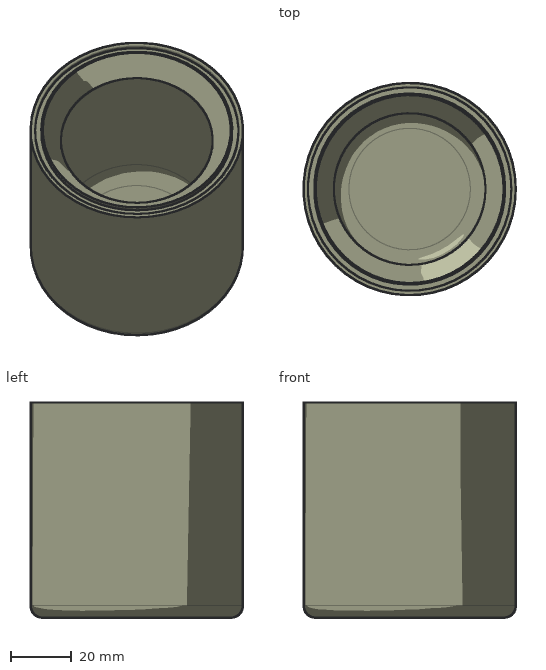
import cadquery as cq

height = 71.0
outer_radius = 70.0 / 2
base_fillet = 4.0

bore_radius = 50.0 / 2
bore_fillet = 5.0
floor_thickness = 9.95
mouth_radius = 30.95
mouth_depth = 6.0

groove_outer_radius = 67.0 / 2
groove_inner_radius = 63.0 / 2
groove_depth = 1.0
rim_edge_fillet = 0.2


def cup_body():
    body = cq.Workplane("XY").circle(outer_radius).extrude(height)
    return body.faces("<Z").edges().fillet(base_fillet)


def bore():
    cutter = (
        cq.Workplane("XY")
        .workplane(offset=floor_thickness)
        .circle(bore_radius)
        .extrude(height - floor_thickness)
    )
    return cutter.faces("<Z").edges().fillet(bore_fillet)


def conical_mouth():
    return (
        cq.Workplane("XZ")
        .moveTo(0, height - mouth_depth)
        .lineTo(bore_radius, height - mouth_depth)
        .lineTo(mouth_radius, height)
        .lineTo(0, height)
        .close()
        .revolve(360, (0, 0, 0), (0, 1, 0))
    )


def rim_groove():
    return (
        cq.Workplane("XY")
        .workplane(offset=height - groove_depth)
        .circle(groove_outer_radius)
        .circle(groove_inner_radius)
        .extrude(groove_depth)
    )


cup = cup_body().cut(bore()).cut(conical_mouth()).cut(rim_groove())

rim_edges = cup.edges(">Z")
groove_edges = rim_edges.edges(cq.selectors.RadiusNthSelector(1)).add(
    rim_edges.edges(cq.selectors.RadiusNthSelector(2))
)
result = groove_edges.fillet(rim_edge_fillet)